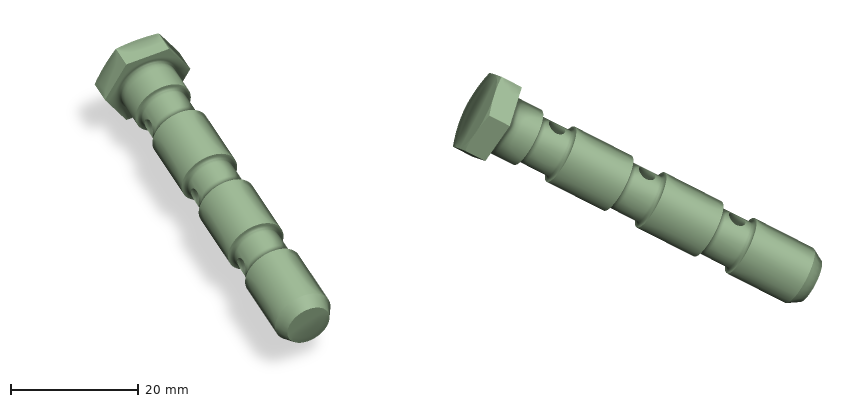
import cadquery as cq
import math

total_length = 61.2
head_length = 4.0
across_flats = 13.0
across_corners = across_flats / math.cos(math.pi / 6)
head_chamfer_depth = 0.25

shank_diameter = 9.75
shank_radius = shank_diameter / 2
under_head_fillet = 0.3
tip_length = 2.0
tip_angle = 30.0

groove_count = 3
groove_diameter = 8.0
groove_width = 6.05
groove_fillet = 0.4
first_groove_center = 12.5
groove_pitch = 16.495
cross_hole_diameter = 3.0

groove_centers = [first_groove_center + i * groove_pitch for i in range(groove_count)]


def make_head():
    """Hexagon with corners along Y, its outer corners trimmed by a cone."""
    hexagon = cq.Workplane("YZ").polygon(6, across_corners).extrude(head_length)
    flat_radius = across_flats / 2
    corner_radius = across_corners / 2
    envelope = (
        cq.Workplane("XY")
        .lineTo(0, flat_radius)
        .lineTo(head_chamfer_depth, corner_radius)
        .lineTo(head_length, corner_radius)
        .lineTo(head_length, 0)
        .close()
        .revolve(360, (0, 0, 0), (1, 0, 0))
    )
    return hexagon.intersect(envelope)


def add_groove(profile, center):
    """Continue the shank profile through one groove with rounded root corners."""
    start = center - groove_width / 2
    end = center + groove_width / 2
    root_radius = groove_diameter / 2
    return (
        profile.lineTo(start, shank_radius)
        .lineTo(start, root_radius + groove_fillet)
        .radiusArc((start + groove_fillet, root_radius), -groove_fillet)
        .lineTo(end - groove_fillet, root_radius)
        .radiusArc((end, root_radius + groove_fillet), -groove_fillet)
        .lineTo(end, shank_radius)
    )


def make_shank():
    """Revolved shank with a root fillet at the head, grooves and a conical tip."""
    tip_radius = shank_radius - tip_length * math.tan(math.radians(tip_angle))
    profile = (
        cq.Workplane("XY")
        .moveTo(head_length, 0)
        .lineTo(head_length, shank_radius + under_head_fillet)
        .radiusArc((head_length + under_head_fillet, shank_radius), -under_head_fillet)
    )
    for center in groove_centers:
        profile = add_groove(profile, center)
    profile = (
        profile.lineTo(total_length - tip_length, shank_radius)
        .lineTo(total_length, tip_radius)
        .lineTo(total_length, 0)
        .close()
    )
    return profile.revolve(360, (0, 0, 0), (1, 0, 0))


def make_cross_holes():
    """One hole along Y through the middle of each groove."""
    return (
        cq.Workplane("XZ")
        .pushPoints([(center, 0) for center in groove_centers])
        .circle(cross_hole_diameter / 2)
        .extrude(shank_radius, both=True)
    )


result = make_head().union(make_shank()).cut(make_cross_holes())